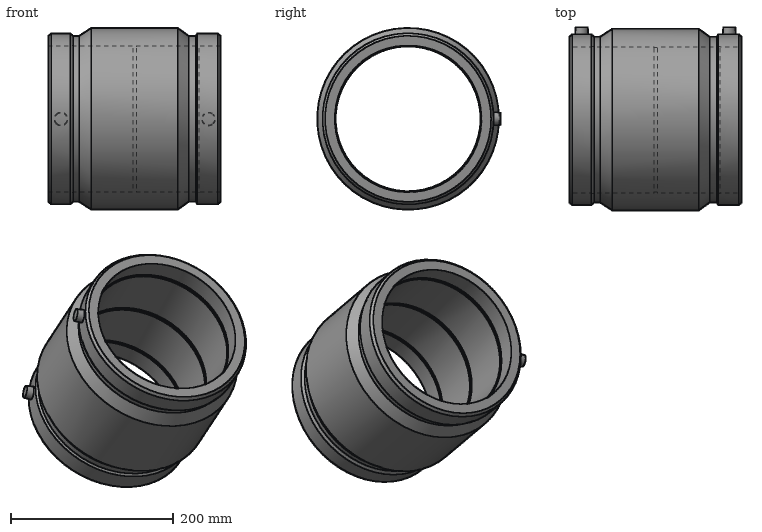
import cadquery as cq

length = 212.0
body_diameter = 224.0
collar_diameter = 210.6
neck_diameter = 204.3
bore_diameter = 180.0
stop_rib_diameter = 178.0
groove_diameter = 181.3

end_chamfer_depth = 3.6
left_collar_end_depth = 27.0
right_collar_end_depth = 28.7
neck_start_depth = 30.5
left_neck_end_depth = 37.7
right_neck_end_depth = 39.3
body_start_depth = 52.9
groove_start_depth = 27.0
groove_end_depth = 30.3

stop_rib_width = 3.8

pin_tip_y = 226 - body_diameter / 2
pin_base_y = 99.5
pin_base_diameter = 17.5
pin_tip_diameter = 15.1
pin_depth = 15.1


def revolve_about_x(left_profile, right_profile):
    """Revolve two (depth, diameter) profiles, each running inward from its own end face."""
    left = [(depth - length / 2, diameter / 2) for depth, diameter in left_profile]
    right = [(length / 2 - depth, diameter / 2) for depth, diameter in reversed(right_profile)]
    outline = [(-length / 2, 0)] + left + right + [(length / 2, 0)]
    return cq.Workplane("XY").polyline(outline).close().revolve(360, (0, 0, 0), (1, 0, 0))


def outside_profile(collar_end_depth, neck_end_depth):
    """Chamfered collar, neck and cone up to the body, for one end of the sleeve."""
    return [
        (0, neck_diameter),
        (end_chamfer_depth, collar_diameter),
        (collar_end_depth, collar_diameter),
        (neck_start_depth, neck_diameter),
        (neck_end_depth, neck_diameter),
        (body_start_depth, body_diameter),
    ]


def make_bore():
    """Through bore with a shallow groove near each end, leaving the stop rib at mid length."""
    rib_start_depth = (length - stop_rib_width) / 2
    profile = [
        (0, bore_diameter),
        (groove_start_depth, bore_diameter),
        (groove_start_depth, groove_diameter),
        (groove_end_depth, groove_diameter),
        (groove_end_depth, bore_diameter),
        (rib_start_depth, bore_diameter),
        (rib_start_depth, stop_rib_diameter),
    ]
    return revolve_about_x(profile, profile)


def make_sleeve():
    left_profile = outside_profile(left_collar_end_depth, left_neck_end_depth)
    right_profile = outside_profile(right_collar_end_depth, right_neck_end_depth)
    return revolve_about_x(left_profile, right_profile).cut(make_bore())


def make_pin(x):
    """Cone frustum pointing along +Y, with its base buried in the collar wall."""
    outline = [
        (x, pin_base_y),
        (x + pin_base_diameter / 2, pin_base_y),
        (x + pin_tip_diameter / 2, pin_tip_y),
        (x, pin_tip_y),
    ]
    return cq.Workplane("XY").polyline(outline).close().revolve(360, (x, 0, 0), (x, 1, 0))


result = make_sleeve()
for side in (-1, 1):
    result = result.union(make_pin(side * (length / 2 - pin_depth)))